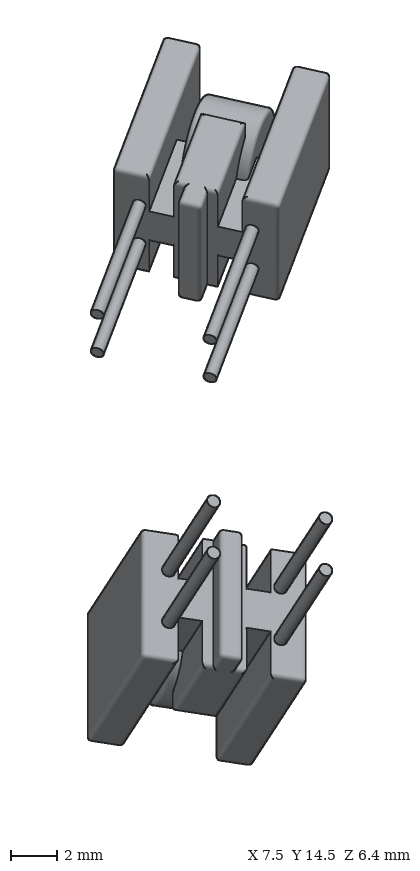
import cadquery as cq

total_length = 14.51
body_width = 7.5
body_length = 8.0
body_height = 6.4
cheek_thickness = 1.65
edge_radius = 0.2

bridge_length = 4.25
bridge_height = 1.93

block_width = 2.0
rib_width = 1.05
rib_projection = 1.02

core_width = 3.0
core_radius = 2.3
core_back_gap = 0.75

pin_length = total_length - body_length
pin_diameter = 0.6
pin_spacing_x = 5.1
pin_spacing_z = 2.55
pin_embed = 0.73


def make_cheek(side):
    """Side plate; side is -1 for the left one and +1 for the right one."""
    center_x = side * (body_width - cheek_thickness) / 2
    cheek = (
        cq.Workplane("XY")
        .box(cheek_thickness, body_length, body_height)
        .translate((center_x, body_length / 2, 0))
    )
    outer_edges = "<X" if side < 0 else ">X"
    return cheek.edges(f"#Z or >Y or (|Z and {outer_edges})").fillet(edge_radius)


def make_bridge():
    width = body_width - 2 * cheek_thickness
    return cq.Workplane("XY").box(width, bridge_length, bridge_height).translate((0, bridge_length / 2, 0))


def make_center_block():
    """T-shaped block and rib, rounded on its rims and on the upright rib tip edges."""
    block = cq.Workplane("XY").box(block_width, bridge_length, body_height).translate((0, bridge_length / 2, 0))
    rib = (
        cq.Workplane("XY")
        .box(rib_width, rib_projection + bridge_length, body_height)
        .translate((0, (bridge_length - rib_projection) / 2, 0))
    )
    return block.union(rib).clean().edges(">Z or <Z or (|Z and <Y)").fillet(edge_radius)


def make_core():
    center_y = body_length - core_back_gap - core_radius
    core = cq.Workplane("YZ").circle(core_radius).extrude(core_width / 2, both=True)
    return core.edges().fillet(edge_radius).translate((0, center_y, 0))


def make_pins():
    return (
        cq.Workplane("XZ", origin=(0, pin_embed, 0))
        .rarray(pin_spacing_x, pin_spacing_z, 2, 2)
        .circle(pin_diameter / 2)
        .extrude(pin_embed + pin_length)
    )


result = (
    make_bridge()
    .union(make_cheek(-1))
    .union(make_cheek(1))
    .union(make_center_block())
    .union(make_core())
    .union(make_pins())
)